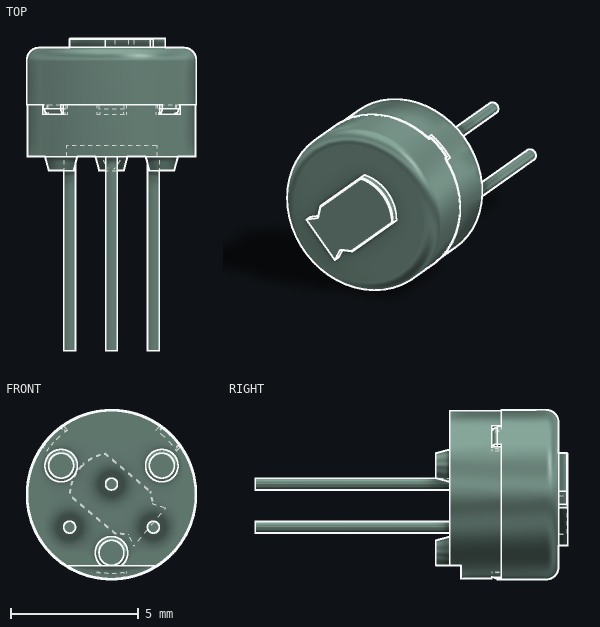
import cadquery as cq
import math


BASE_RADIUS = 3.3
CAP_RADIUS = 3.34
SEAM_Y = 2.03
CAP_BACK_Y = 4.29
CAP_FILLET = 0.5

STEP_Z = -2.79
STEP_DEPTH = 0.44

TAB_ANGLES = (45, 135, 270)
TAB_LENGTH = 0.15
TAB_WIDTH = 0.98
LUG_ROUND = 0.22
LUG_WIDTH = 0.91
NOTCH_WIDTH = 1.15
NOTCH_LENGTH = TAB_LENGTH + LUG_ROUND
NOTCH_FLOOR_RADIUS = BASE_RADIUS - LUG_ROUND

FOOT_ANGLES = (30, 150, 270)
FOOT_CIRCLE_RADIUS = 2.29
FOOT_ROOT_RADIUS = 0.64
FOOT_TIP_RADIUS = 0.49
FOOT_HEIGHT = 0.55

LEAD_DIAMETER = 0.47
LEAD_LENGTH = 7.65
SIDE_LEAD_X = 1.65
SIDE_LEAD_Z = -1.28
MIDDLE_LEAD_Z = 0.42

KNOB_HEIGHT = 12.29 - LEAD_LENGTH - CAP_BACK_Y
KNOB_RADIUS = 1.66
KNOB_CHAMFER = 0.04
POINTER_ANGLE = -40
POINTER_HALF_WIDTH = 1.09
POINTER_SHOULDER = 1.08
NECK_DISTANCE = 1.5
NECK_HALF_WIDTH = 0.77
HEAD_DISTANCE = 1.95
HEAD_HALF_WIDTH = 0.97


def plane_at(y):
    """Sketch plane at height y: local x is X, local y is Z, extrusion goes toward -Y."""
    return cq.Workplane("XZ", origin=(0, y, 0))


def turn(shape, angle):
    """Turn a shape about the body axis, from +X toward +Z."""
    return shape.rotate((0, 0, 0), (0, 1, 0), -angle)


def make_base():
    base = plane_at(SEAM_Y).circle(BASE_RADIUS).extrude(SEAM_Y)
    step_height = BASE_RADIUS + STEP_Z
    step = cq.Workplane("XY").box(
        2 * BASE_RADIUS, STEP_DEPTH, step_height, centered=(True, False, False)
    )
    return base.cut(step.translate((0, 0, -BASE_RADIUS)))


def make_cap():
    cap = plane_at(CAP_BACK_Y).circle(CAP_RADIUS).extrude(CAP_BACK_Y - SEAM_Y)
    return cap.faces(">Y").edges().fillet(CAP_FILLET)


def trim_to_slab(ring, width):
    """Keep the piece of a ring that lies within a width across the +X direction."""
    slab = cq.Workplane("XY").box(CAP_RADIUS, 2 * SEAM_Y, width, centered=(False, True, True))
    return ring.intersect(slab)


def make_notch():
    """Recess in the rim of the base, on the +X side, with a round floor."""
    ring = plane_at(SEAM_Y).circle(CAP_RADIUS).circle(NOTCH_FLOOR_RADIUS).extrude(NOTCH_LENGTH)
    return trim_to_slab(ring, NOTCH_WIDTH)


def make_tab():
    """Snap tab on the +X side, flush with the cap, ending in a narrower rounded lug."""
    tab_end_y = SEAM_Y - TAB_LENGTH
    lug_end_y = SEAM_Y - NOTCH_LENGTH
    tab_ring = (
        cq.Workplane("XY")
        .moveTo(0, tab_end_y)
        .rect(CAP_RADIUS, TAB_LENGTH, centered=False)
        .revolve(360, (0, 0, 0), (0, 1, 0))
    )
    arc_offset = LUG_ROUND * math.sqrt(0.5)
    lug_ring = (
        cq.Workplane("XY")
        .moveTo(0, SEAM_Y)
        .lineTo(BASE_RADIUS, SEAM_Y)
        .lineTo(BASE_RADIUS, tab_end_y)
        .threePointArc(
            (NOTCH_FLOOR_RADIUS + arc_offset, tab_end_y - arc_offset),
            (NOTCH_FLOOR_RADIUS, lug_end_y),
        )
        .lineTo(0, lug_end_y)
        .close()
        .revolve(360, (0, 0, 0), (0, 1, 0))
    )
    return trim_to_slab(tab_ring, TAB_WIDTH).union(trim_to_slab(lug_ring, LUG_WIDTH))


def make_feet():
    """Tapered feet; the lowest one is trimmed flush with the step."""
    foot = (
        plane_at(0)
        .circle(FOOT_ROOT_RADIUS)
        .workplane(offset=FOOT_HEIGHT)
        .circle(FOOT_TIP_RADIUS)
        .loft()
        .translate((FOOT_CIRCLE_RADIUS, 0, 0))
    )
    feet = cq.Workplane("XY")
    for angle in FOOT_ANGLES:
        feet = feet.add(turn(foot, angle))
    trim = cq.Workplane("XY").box(
        2 * FOOT_ROOT_RADIUS, 2 * FOOT_HEIGHT, BASE_RADIUS, centered=(True, True, False)
    )
    return feet.combine().cut(trim.translate((0, 0, STEP_Z - BASE_RADIUS)))


def make_leads():
    centers = [(-SIDE_LEAD_X, SIDE_LEAD_Z), (0, MIDDLE_LEAD_Z), (SIDE_LEAD_X, SIDE_LEAD_Z)]
    return plane_at(0).pushPoints(centers).circle(LEAD_DIAMETER / 2).extrude(LEAD_LENGTH)


def make_knob():
    top = plane_at(CAP_BACK_Y + KNOB_HEIGHT)
    flat_start = -math.sqrt(KNOB_RADIUS**2 - POINTER_HALF_WIDTH**2)
    disc = (
        top.moveTo(flat_start, POINTER_HALF_WIDTH)
        .threePointArc((-KNOB_RADIUS, 0), (flat_start, -POINTER_HALF_WIDTH))
        .lineTo(POINTER_SHOULDER, -POINTER_HALF_WIDTH)
        .lineTo(NECK_DISTANCE, -NECK_HALF_WIDTH)
        .lineTo(NECK_DISTANCE, NECK_HALF_WIDTH)
        .lineTo(POINTER_SHOULDER, POINTER_HALF_WIDTH)
        .close()
        .extrude(KNOB_HEIGHT)
        .faces(">Y")
        .edges()
        .chamfer(KNOB_CHAMFER)
    )
    head = (
        top.moveTo(0, NECK_HALF_WIDTH)
        .lineTo(NECK_DISTANCE, NECK_HALF_WIDTH)
        .lineTo(HEAD_DISTANCE, HEAD_HALF_WIDTH)
        .lineTo(HEAD_DISTANCE, -HEAD_HALF_WIDTH)
        .lineTo(NECK_DISTANCE, -NECK_HALF_WIDTH)
        .lineTo(0, -NECK_HALF_WIDTH)
        .close()
        .extrude(KNOB_HEIGHT)
    )
    return turn(disc.union(head), POINTER_ANGLE)


base = make_base()
cap = make_cap()
for tab_angle in TAB_ANGLES:
    base = base.cut(turn(make_notch(), tab_angle))
    cap = cap.union(turn(make_tab(), tab_angle))

result = base.union(cap).union(make_feet()).union(make_leads()).union(make_knob())